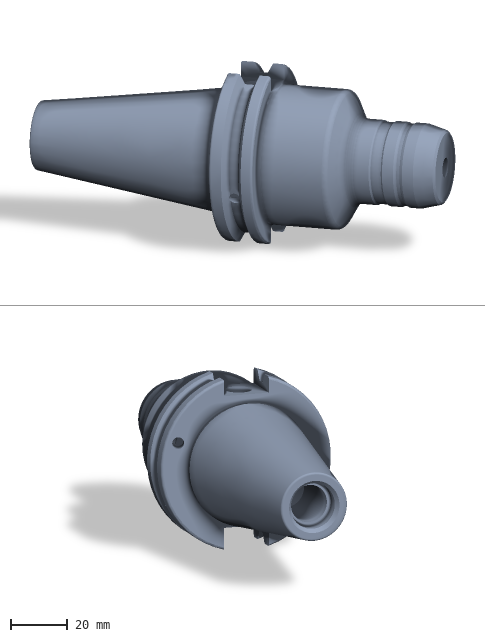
import cadquery as cq
import math

length = 148.8

taper_ratio = 7 / 24
gauge_x = 68.4
gauge_d = 44.5
small_end_fillet = 0.7
neck_x = 69.8
neck_d = 43.6
neck_fillet = 0.6

flange_x0 = 71.4
flange_x1 = 87.3
flange_d = 63.4
flange_edge_fillet = 0.9
groove_x = 79.6
groove_width = 7.3
groove_floor_d = 56.5
groove_wall_angle = 30.0

body_d = 49.5
root_fillet = 1.2
shoulder_angle = 60.0
shoulder_foot_x = 117.7
shoulder_top_fillet = 2.2
shoulder_foot_fillet = 3.0

nose_d = 30.0
nose_groove_d = 29.0
nose_grooves = [(125.1, 130.0, 0.6), (134.0, 137.3, 1.0)]
tip_cone_x = 141.3
tip_angle = 15.0
tip_chamfer = 0.7

mouth_d = 18.7
mouth_chamfer = 1.6
socket_d = 16.4
socket_depth = 5.7
thread_d = 13.4
thread_depth = 29.8
drill_end_d = 9.5
bore_d = 7.0
drill_cone_angle = 60.0

slot_width = 16.7
top_slot_z = 24.8
bottom_slot_z = 22.6
slot_end_x = 96.1
dimple_d = 9.5
dimple_half_angle = 60.0

coolant_angle = 20.0
coolant_radius = 27.0
coolant_tilt = 20.0
coolant_hole_d = 4.2
coolant_hole_length = 9.7
radial_hole_d = 4.0
radial_hole_depth = 4.2


def tan(degrees):
    return math.tan(math.radians(degrees))


def cylinder(start, direction, diameter, height):
    solid = cq.Solid.makeCylinder(diameter / 2, height, cq.Vector(*start), cq.Vector(*direction))
    return cq.Workplane(solid)


def revolve_about_x(points):
    return cq.Workplane("XY").polyline(points).close().revolve(360, (0, 0, 0), (1, 0, 0))


def circles_at(x, radius):
    """Selector for edges in the plane at x, out to the given radius."""
    reach = 0.07
    outer = radius + reach
    return cq.selectors.BoxSelector((x - reach, -outer, -outer), (x + reach, outer, outer), boundingbox=True)


def round_circle(solid, x, radius, fillet):
    """Fillet the largest circular edge at x that fits within the given radius."""
    circles = solid.edges(circles_at(x, radius)).edges("%CIRCLE")
    return circles.edges(cq.selectors.RadiusNthSelector(-1)).fillet(fillet)


def make_shank_and_flange():
    small_r = (gauge_d - taper_ratio * gauge_x) / 2
    flange_r = flange_d / 2
    shank = revolve_about_x([
        (0, 0),
        (0, small_r),
        (gauge_x, gauge_d / 2),
        (neck_x, neck_d / 2),
        (flange_x0, neck_d / 2),
        (flange_x0, flange_r),
        (flange_x1, flange_r),
        (flange_x1, 0),
    ])
    shank = round_circle(shank, 0, small_r, small_end_fillet)
    shank = round_circle(shank, flange_x0, neck_d / 2, neck_fillet)
    for face_x in (flange_x0, flange_x1):
        shank = round_circle(shank, face_x, flange_r, flange_edge_fillet)
    return shank


def make_body_and_nose():
    body_r = body_d / 2
    nose_r = nose_d / 2
    shoulder_top_x = shoulder_foot_x - (body_r - nose_r) / tan(shoulder_angle)
    tip_r = nose_r - (length - tip_cone_x) * tan(tip_angle)
    body = revolve_about_x([
        (groove_x, 0),
        (groove_x, body_r),
        (shoulder_top_x, body_r),
        (shoulder_foot_x, nose_r),
        (tip_cone_x, nose_r),
        (length, tip_r),
        (length, 0),
    ])
    body = round_circle(body, shoulder_top_x, body_r, shoulder_top_fillet)
    body = round_circle(body, shoulder_foot_x, nose_r, shoulder_foot_fillet)
    return body.faces(">X").edges().chamfer(tip_chamfer)


def make_ring_groove(x0, x1, floor_d, outer_d, wall_run):
    """Ring cutter from x0 to x1 at outer_d, with sloped walls down to floor_d."""
    clear = 1.5
    outer_r = outer_d / 2
    return revolve_about_x([
        (x0, outer_r + clear),
        (x0, outer_r),
        (x0 + wall_run, floor_d / 2),
        (x1 - wall_run, floor_d / 2),
        (x1, outer_r),
        (x1, outer_r + clear),
    ])


def make_bore():
    thread_end = thread_depth + (thread_d - drill_end_d) / 2 / tan(drill_cone_angle)
    bore_start = thread_end + (drill_end_d - bore_d) / 2
    return revolve_about_x([
        (0, 0),
        (0, mouth_d / 2),
        (mouth_chamfer, socket_d / 2),
        (socket_depth, socket_d / 2),
        (socket_depth, thread_d / 2),
        (thread_depth, thread_d / 2),
        (thread_end, drill_end_d / 2),
        (bore_start, bore_d / 2),
        (length, bore_d / 2),
        (length, 0),
    ])


def make_drive_slot(floor_z, side):
    """Slot across the flange with a round end in the body; side is +1 for top, -1 for bottom."""
    end_r = slot_width / 2
    end_center_x = slot_end_x - end_r
    return (
        cq.Workplane("XY", origin=(0, 0, side * floor_z))
        .moveTo(gauge_x, -end_r)
        .lineTo(end_center_x, -end_r)
        .threePointArc((slot_end_x, 0), (end_center_x, end_r))
        .lineTo(gauge_x, end_r)
        .close()
        .extrude(side * flange_d / 2)
    )


def make_dimple():
    depth = dimple_d / 2 / tan(dimple_half_angle)
    center = cq.Vector(groove_x, 0, top_slot_z)
    return cq.Workplane(cq.Solid.makeCone(dimple_d / 2, 0, depth, center, cq.Vector(0, 0, -1)))


def make_coolant_hole(side):
    """Leaning hole in the flange face that meets a radial hole in the groove; side is +1 for +Y, -1 for -Y."""
    y = side * math.cos(math.radians(coolant_angle))
    z = side * math.sin(math.radians(coolant_angle))
    lean = tan(coolant_tilt)
    lead = 1.5
    start_r = coolant_radius + lead * lean
    tilted = cylinder(
        (flange_x0 - lead, start_r * y, start_r * z),
        (1, -lean * y, -lean * z),
        coolant_hole_d,
        lead / math.cos(math.radians(coolant_tilt)) + coolant_hole_length,
    )
    outer_r = flange_d / 2
    radial_length = (flange_d - groove_floor_d) / 2 + radial_hole_depth
    radial = cylinder((groove_x, outer_r * y, outer_r * z), (0, -y, -z), radial_hole_d, radial_length)
    return tilted.union(radial)


part = make_shank_and_flange().union(make_body_and_nose())
part = round_circle(part, flange_x1, body_d / 2, root_fillet)

grip_wall_run = (flange_d - groove_floor_d) / 2 * tan(groove_wall_angle)
grip_start = groove_x - groove_width / 2
grip_end = groove_x + groove_width / 2
part = part.cut(make_ring_groove(grip_start, grip_end, groove_floor_d, flange_d, grip_wall_run))
for groove_start, groove_end, wall_run in nose_grooves:
    part = part.cut(make_ring_groove(groove_start, groove_end, nose_groove_d, nose_d, wall_run))

part = part.cut(make_bore())
part = part.cut(make_drive_slot(top_slot_z, 1))
part = part.cut(make_drive_slot(bottom_slot_z, -1))
part = part.cut(make_dimple())
for side in (1, -1):
    part = part.cut(make_coolant_hole(side))

result = part